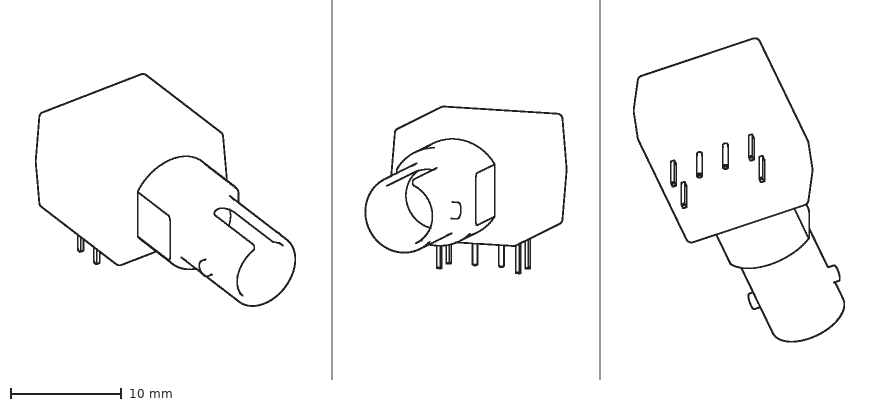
import cadquery as cq
import math

HOUSING_LENGTH = 12.7
HOUSING_WIDTH = 12.7
HOUSING_HEIGHT = 10.2
SIDE_DRAFT = 5.0
PARTING_BAND = 0.1
HOUSING_FILLET = 0.52

PIN_PITCH = 2.53
PIN_LENGTH = 3.6
PIN_WIDTH = 0.5
PIN_THICKNESS = 0.33
PIN_CHAMFER = 0.1
PIN_EMBED = 0.55
FIRST_PIN_ROW_X = 3.78

COLLAR_RADIUS = 9.0 / 2
COLLAR_FLAT_WIDTH = 7.62
COLLAR_LENGTH = 5.1
COLLAR_FILLET = 0.25
COLLAR_EMBED = 0.55

OVERALL_LENGTH = 27.2
BARREL_RADIUS = 7.1 / 2
BORE_RADIUS = 2.9
BARREL_TIP_FILLET = 0.27
BARREL_ROOT_FILLET = 0.25

SLOT_WIDTH = 2.0
SLOT_ARC_CENTER_X = 21.05
SLOT_FILLET = 0.25

LUG_X = 23.58
LUG_RADIUS = 1.5 / 2
LUG_SPAN = 8.43
LUG_TIP_FILLET = 0.14
LUG_ROOT_FILLET = 0.14

COLLAR_END_X = HOUSING_LENGTH + COLLAR_LENGTH
HALF_HEIGHT = HOUSING_HEIGHT / 2


def make_housing():
    """Six-sided profile extruded along X, with all edges but the parting band rounded."""
    half_width = HOUSING_WIDTH / 2
    half_band = PARTING_BAND / 2
    lean = (HALF_HEIGHT - half_band) * math.tan(math.radians(SIDE_DRAFT))
    right_side = [
        (half_width - lean, -HALF_HEIGHT),
        (half_width, -half_band),
        (half_width, half_band),
        (half_width - lean, HALF_HEIGHT),
    ]
    left_side = [(-y, z) for y, z in reversed(right_side)]
    block = cq.Workplane("YZ").polyline(right_side + left_side).close().extrude(HOUSING_LENGTH)
    long_edges = block.faces("|Z").edges("|X")
    end_edges = block.faces("|X").edges()
    return block.newObject(long_edges.vals() + end_edges.vals()).fillet(HOUSING_FILLET)


def make_flat_pin(x, y):
    """Rectangular pin whose tip is chamfered on its two X sides."""
    length = PIN_LENGTH + PIN_EMBED
    pin = cq.Workplane("XY").box(PIN_WIDTH, PIN_THICKNESS, length, centered=(True, True, False))
    pin = pin.faces("<Z").edges("|Y").chamfer(PIN_CHAMFER)
    return pin.translate((x, y, -HALF_HEIGHT - PIN_LENGTH))


def make_round_pin(x, y):
    """Round pin with a chamfered tip."""
    pin = cq.Workplane("XY").circle(PIN_WIDTH / 2).extrude(PIN_LENGTH + PIN_EMBED)
    pin = pin.faces("<Z").edges().chamfer(PIN_CHAMFER)
    return pin.translate((x, y, -HALF_HEIGHT - PIN_LENGTH))


def make_collar():
    """Turned collar with a rounded front edge, milled flat on both sides."""
    start_x = HOUSING_LENGTH - COLLAR_EMBED
    length = COLLAR_LENGTH + COLLAR_EMBED
    collar = cq.Workplane("YZ").workplane(offset=start_x).circle(COLLAR_RADIUS).extrude(length)
    collar = collar.faces(">X").edges().fillet(COLLAR_FILLET)
    between_flats = (
        cq.Workplane("YZ")
        .workplane(offset=start_x)
        .rect(COLLAR_FLAT_WIDTH, 2 * COLLAR_RADIUS)
        .extrude(length)
    )
    return collar.intersect(between_flats)


def make_barrel():
    """Hollow turned barrel with a flared root and a rounded tip."""
    root_center = (COLLAR_END_X + BARREL_ROOT_FILLET, BARREL_RADIUS + BARREL_ROOT_FILLET)
    diagonal = BARREL_ROOT_FILLET * math.sqrt(0.5)
    barrel = (
        cq.Workplane("XY")
        .moveTo(COLLAR_END_X, BORE_RADIUS)
        .lineTo(OVERALL_LENGTH, BORE_RADIUS)
        .lineTo(OVERALL_LENGTH, BARREL_RADIUS)
        .lineTo(root_center[0], BARREL_RADIUS)
        .threePointArc(
            (root_center[0] - diagonal, root_center[1] - diagonal),
            (COLLAR_END_X, root_center[1]),
        )
        .close()
        .revolve(360, (0, 0, 0), (1, 0, 0))
    )
    return cut_slot(barrel).faces(">X").edges().fillet(BARREL_TIP_FILLET)


def cut_slot(barrel):
    """Cut the round-ended slot through the top wall and round its outer and inner rims."""
    end_radius = SLOT_WIDTH / 2
    slot = (
        cq.Workplane("XY")
        .moveTo(OVERALL_LENGTH, -end_radius)
        .lineTo(SLOT_ARC_CENTER_X, -end_radius)
        .threePointArc((SLOT_ARC_CENTER_X - end_radius, 0), (SLOT_ARC_CENTER_X, end_radius))
        .lineTo(OVERALL_LENGTH, end_radius)
        .close()
        .extrude(BARREL_RADIUS)
    )
    rim_box = cq.selectors.BoxSelector(
        (SLOT_ARC_CENTER_X - SLOT_WIDTH, -SLOT_WIDTH, 0),
        (OVERALL_LENGTH - BARREL_TIP_FILLET, SLOT_WIDTH, BARREL_RADIUS + SLOT_FILLET),
    )
    upright_edges = cq.selectors.ParallelDirSelector(cq.Vector(0, 0, 1))
    return barrel.cut(slot).edges(rim_box - upright_edges).fillet(SLOT_FILLET)


def add_lugs(barrel):
    """Add two opposite round lugs with rounded tips and filleted roots."""
    lug_start = (BORE_RADIUS + BARREL_RADIUS) / 2
    for side in (1, -1):
        lug = (
            cq.Workplane("XZ", origin=(LUG_X, side * lug_start, 0))
            .circle(LUG_RADIUS)
            .extrude(-side * (LUG_SPAN / 2 - lug_start))
        )
        tip = ">Y" if side > 0 else "<Y"
        barrel = barrel.union(lug.faces(tip).edges().fillet(LUG_TIP_FILLET))
        root_box = cq.selectors.BoxSelector(
            (LUG_X - 2 * LUG_RADIUS, side * lug_start, -LUG_RADIUS),
            (LUG_X + 2 * LUG_RADIUS, side * (BARREL_RADIUS + LUG_ROOT_FILLET), LUG_RADIUS),
        )
        barrel = barrel.edges(root_box).fillet(LUG_ROOT_FILLET)
    return barrel


result = make_housing()
result = result.union(make_collar())
result = result.union(add_lugs(make_barrel()))
for side in (1, -1):
    result = result.union(make_round_pin(FIRST_PIN_ROW_X, side * PIN_PITCH / 2))
    for pin_x in (FIRST_PIN_ROW_X, FIRST_PIN_ROW_X + PIN_PITCH):
        result = result.union(make_flat_pin(pin_x, side * PIN_PITCH * 1.5))